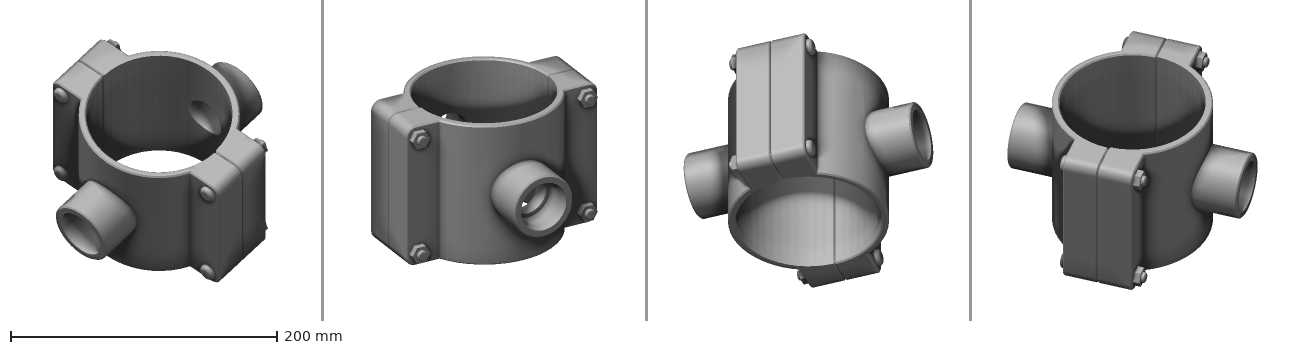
import cadquery as cq
import math

height = 116.0
flange_width = 165.0
flange_depth = 27.5
corner_radius = 8.0
bore_diameter = 110.0
wall = 5.5
edge_chamfer = 1.1
joint_gap = 0.1
shell_diameter = bore_diameter + 2 * wall
mating_y = joint_gap / 2

port_reach = 91.0
port_diameter = 50.64
socket_diameter = 38.95
throat_diameter = 32.0
socket_depth = 25.0
seat_depth = 1.0

bolt_diameter = 8.0
bolt_inset = 10.25
head_diameter = 13.0
head_height = 4.0
head_round = 3.0
nut_flats = 13.0
nut_height = 5.0
bolt_tip = 2.8
tip_chamfer = 0.8
nut_corners = nut_flats / math.cos(math.pi / 6)
nut_face = flange_depth + nut_height
bolt_end = nut_face + bolt_tip
bolt_x = flange_width / 2 - bolt_inset
bolt_z = height / 2 - bolt_inset


def cylinder_y(diameter, start, end):
    """Cylinder on the Y axis from y = start to the larger y = end."""
    return cq.Workplane("XZ", origin=(0, start, 0)).circle(diameter / 2).extrude(start - end)


def cylinder_z(diameter):
    """Cylinder on the Z axis, as tall as the clamp."""
    return cq.Workplane("XY", origin=(0, 0, -height / 2)).circle(diameter / 2).extrude(height)


def half_blank():
    """Solid half shell with rounded flanges on the +Y side."""
    flanges = (
        cq.Workplane("XY")
        .box(flange_width, flange_depth - mating_y, height, centered=(True, False, True))
        .translate((0, mating_y, 0))
        .edges("|Y")
        .fillet(corner_radius)
    )
    half_space = (
        cq.Workplane("XY")
        .box(flange_width, shell_diameter, height, centered=(True, False, True))
        .translate((0, mating_y, 0))
    )
    return flanges.union(cylinder_z(shell_diameter).intersect(half_space))


def break_rims(half):
    """Chamfer the rims of the top, bottom and outer flange faces, but not the shell-to-flange corners."""
    return half.edges("(not (|Y or |Z or <Y)) or ((<X or >X) and (not <Y))").chamfer(edge_chamfer)


def break_mating_face(half):
    """Chamfer every edge of the face that meets the other half."""
    return half.faces("<Y").edges().chamfer(edge_chamfer)


def make_bolt():
    """Button-head bolt along Y with its hexagon nut on the +Y flange face."""
    shank = cylinder_y(bolt_diameter, -flange_depth, bolt_end).faces(">Y").edges().chamfer(tip_chamfer)
    head = (
        cylinder_y(head_diameter, -flange_depth - head_height, -flange_depth)
        .faces("<Y")
        .edges()
        .fillet(head_round)
    )
    nut = cq.Workplane("XZ", origin=(0, flange_depth, 0)).polygon(6, nut_corners).extrude(-nut_height)
    return shank.union(head).union(nut)


def make_clamp():
    """Both halves held together by the four bolts; only the front half has its bore rims broken."""
    bore = cylinder_z(bore_diameter)
    back_half = break_mating_face(break_rims(half_blank()).cut(bore))
    front_half = break_mating_face(break_rims(half_blank().cut(bore))).mirror("XZ")
    clamp = back_half.union(front_half)
    for side_x in (-1, 1):
        for side_z in (-1, 1):
            clamp = clamp.union(make_bolt().translate((side_x * bolt_x, 0, side_z * bolt_z)))
    return clamp.cut(cylinder_y(throat_diameter, -port_reach, port_reach))


def make_port():
    """Stub on the +Y side, its inner end curved to sit on the shell, with a socket and a narrower throat."""
    tube = cylinder_y(port_diameter, 0, port_reach).faces(">Y").edges().chamfer(edge_chamfer)
    socket = cylinder_y(socket_diameter, port_reach - socket_depth, port_reach)
    throat = cylinder_y(throat_diameter, 0, port_reach)
    return tube.cut(cylinder_z(shell_diameter - 2 * seat_depth)).cut(socket).cut(throat)


back_port = make_port()
front_port = make_port().mirror("XZ")
ports = [back_port, front_port]

clamp = make_clamp()
for port in ports:
    clamp = clamp.cut(port)

result = cq.Compound.makeCompound([clamp.val()] + [port.val() for port in ports])